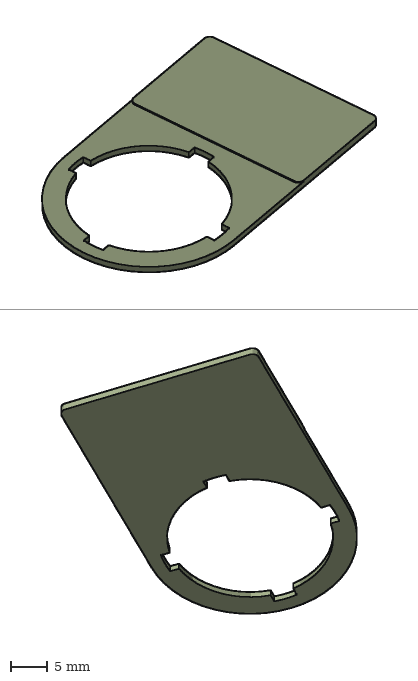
import cadquery as cq

length = 47.75
width = 29.5
end_radius = width / 2
base_thickness = 1.0
total_thickness = 1.2
corner_radius = 0.95

label_length = 18.0

hole_radius = 11.45
keyway_radius = 12.75
keyway_width = 3.35

square_end_y = length - end_radius


def make_base():
    """Plate with one round end and two small rounded corners at the other."""
    return (
        cq.Workplane("XY")
        .moveTo(-end_radius, square_end_y)
        .lineTo(-end_radius, 0)
        .threePointArc((0, -end_radius), (end_radius, 0))
        .lineTo(end_radius, square_end_y)
        .close()
        .extrude(base_thickness)
        .edges("|Z and >Y")
        .fillet(corner_radius)
    )


def make_label():
    """Rounded rectangular panel, standing slightly above the base."""
    return (
        cq.Workplane("XY", origin=(0, square_end_y - label_length / 2, base_thickness))
        .rect(width, label_length)
        .extrude(total_thickness - base_thickness)
        .edges("|Z")
        .fillet(corner_radius)
    )


def make_hole():
    """Round hole plus crossed keyways whose outer ends are arcs."""
    keyways = (
        cq.Workplane("XY")
        .rect(2 * end_radius, keyway_width)
        .extrude(base_thickness)
        .union(cq.Workplane("XY").rect(keyway_width, 2 * end_radius).extrude(base_thickness))
        .intersect(cq.Workplane("XY").circle(keyway_radius).extrude(base_thickness))
    )
    return cq.Workplane("XY").circle(hole_radius).extrude(base_thickness).union(keyways)


result = make_base().union(make_label()).cut(make_hole())